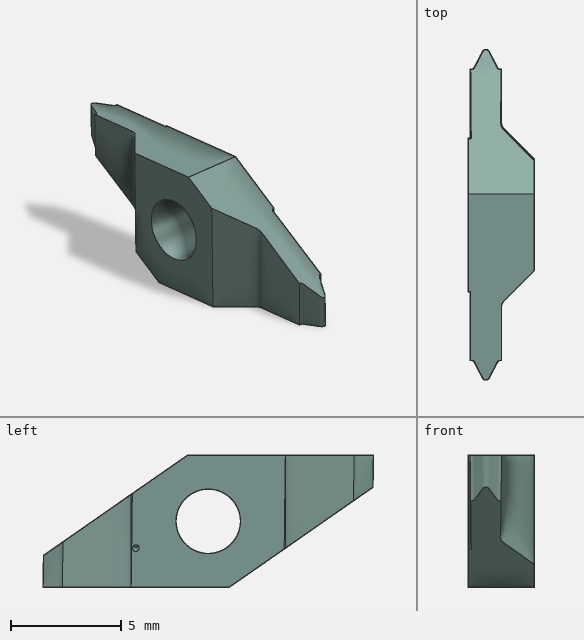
import cadquery as cq
import math

length = 15.0
width = 3.0
height = 6.0

slope_start = 0.95
tip_height = 1.44

bore_diameter = 2.91
step_y = 3.5
step_depth = 0.09
bevel_y = 2.54
bevel_radius = 0.42

blade_width = 1.42
shoulder_y = 6.62
flank_angle = math.radians(27.5)
tip_radius = 0.18
root_radius = 0.12
relief_angle = 0.7

dimple_y = 3.28
dimple_z = -1.22
dimple_diameter = 0.3

half_length = length / 2
half_width = width / 2
half_height = height / 2
margin = 0.75


def side_plate():
    """Full-width plate with the side profile, square to X."""
    tip_z = half_height - tip_height
    profile = [
        (-half_length, half_height),
        (slope_start, half_height),
        (half_length, -tip_z),
        (half_length, -half_height),
        (-slope_start, -half_height),
        (-half_length, tip_z),
    ]
    return cq.Workplane("YZ").polyline(profile).close().extrude(half_width, both=True)


def corner_at(wire, x, y):
    """The wire's vertex closest to the given plan position."""
    return min(wire.Vertices(), key=lambda vertex: math.hypot(vertex.X - x, vertex.Y - y))


def half_envelope():
    """Relieved plan outline of the -Y half, hung from its cutting face."""
    blade_left = step_depth - half_width
    blade_right = blade_left + blade_width
    center = (blade_left + blade_right) / 2

    tip_center_y = tip_radius - half_length
    tip_x = tip_radius * math.cos(flank_angle)
    tip_y = tip_center_y - tip_radius * math.sin(flank_angle)
    flank_x = tip_x + (-shoulder_y - tip_y) * math.tan(flank_angle)
    bevel_end_y = -bevel_y - (half_width - blade_right)
    outer_right = half_width + margin
    outer_left = -half_width - margin

    outline = (
        cq.Workplane("XY")
        .workplane(offset=half_height)
        .moveTo(outer_left, margin)
        .lineTo(outer_left, -step_y)
        .lineTo(blade_left, -step_y)
        .lineTo(blade_left, -shoulder_y)
        .lineTo(center - flank_x, -shoulder_y)
        .lineTo(center - tip_x, tip_y)
        .threePointArc((center, -half_length), (center + tip_x, tip_y))
        .lineTo(center + flank_x, -shoulder_y)
        .lineTo(blade_right, -shoulder_y)
        .lineTo(blade_right, bevel_end_y)
        .lineTo(outer_right, bevel_end_y + outer_right - blade_right)
        .lineTo(outer_right, margin)
        .close()
    )
    wire = outline.val()
    bevel_root = corner_at(wire, blade_right, bevel_end_y)
    wire = wire.fillet2D(bevel_radius, [bevel_root])
    for side in (-1, 1):
        flank_root = corner_at(wire, center + side * flank_x, -shoulder_y)
        wire = wire.fillet2D(root_radius, [flank_root])
    envelope = cq.Workplane("XY").add(wire).toPending().extrude(-height, taper=relief_angle)
    keep = cq.Workplane("XY").box(2 * width, length, height).translate((0, -half_length, 0))
    return envelope.intersect(keep)


def bore():
    return cq.Workplane("YZ").circle(bore_diameter / 2).extrude(half_width, both=True)


def dimple():
    center = cq.Vector(-half_width, dimple_y, dimple_z)
    radius = dimple_diameter / 2
    return cq.Workplane(cq.Solid.makeCone(radius, 0, radius, center, cq.Vector(1, 0, 0)))


near_half = side_plate().intersect(half_envelope())
far_half = near_half.rotate((0, 0, 0), (1, 0, 0), 180)
result = near_half.union(far_half).clean().cut(bore()).cut(dimple())